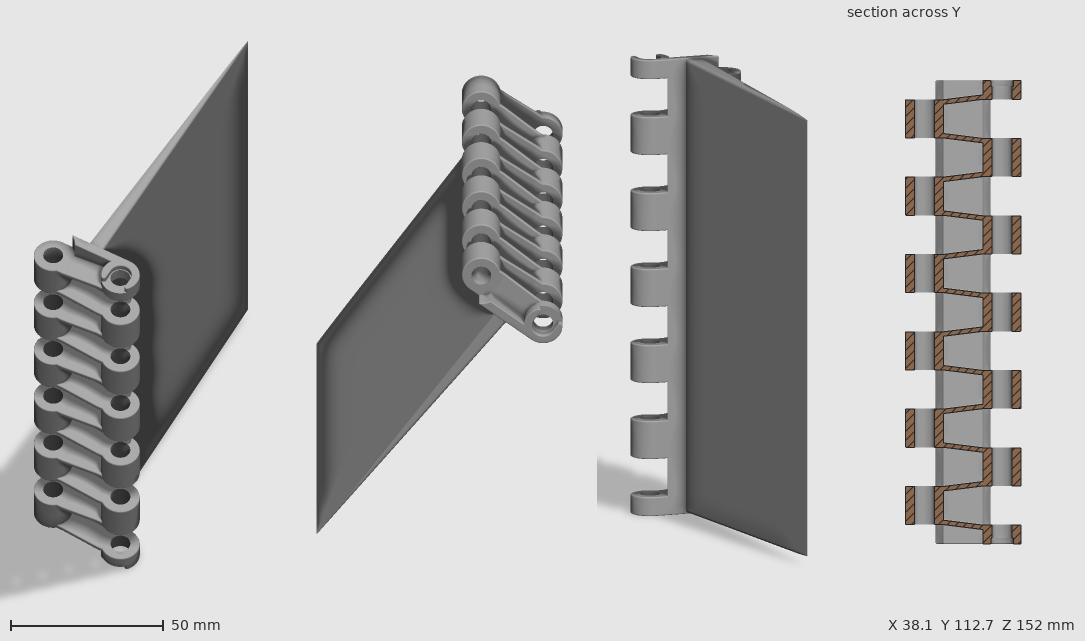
import cadquery as cq
import math

knuckle_radius = 6.35
axis_x = 2 * knuckle_radius
height = 152.0
left_knuckle_count = 6
pitch = height / left_knuckle_count
knuckle_length = pitch / 2
half_height = height / 2
pin_hole_diameter = 6.5
edge_round = 0.4
small_round = 0.25

plate_back_y = knuckle_radius
plate_front_y = knuckle_radius / 2
clearance_radius = 7.05
plate_front_half_width = axis_x - math.sqrt(clearance_radius**2 - plate_front_y**2)

rib_thickness = 1.6
rib_front_y = -4.9
rib_end_x = 9.0

recess_width = 7.2
recess_depth = 2.0
mouth_round = 0.8

blade_tip_y = 106.34
blade_root_thickness = 5.1
blade_tip_thickness = 0.1
blade_root_height = 151.4
blade_height_drop = 2.4
blade_edge_round = 1.1


def box_between(x0, x1, y0, y1, z0, z1):
    """Axis-aligned box from its corner coordinates."""
    return cq.Workplane("XY").box(x1 - x0, y1 - y0, z1 - z0, centered=False).translate((x0, y0, z0))


def make_plate():
    plate = box_between(-axis_x, axis_x, plate_front_y, plate_back_y, -half_height, half_height)
    for side in (-1, 1):
        clearance = cq.Workplane("XY").center(side * axis_x, 0).circle(clearance_radius).extrude(height)
        plate = plate.cut(clearance.translate((0, 0, -half_height)))
    plate = plate.faces(">Y").edges("|Z").fillet(small_round)
    return plate.faces("<Z or >Z").edges().fillet(edge_round)


def make_recess(end):
    """Round-backed slot sunk into the end face of an end knuckle (end is +1 top, -1 bottom)."""
    seat = cq.Workplane("XY").center(axis_x, 0).circle(recess_width / 2).extrude(recess_depth)
    mouth = box_between(
        axis_x - recess_width / 2, axis_x + recess_width / 2, -axis_x, 0, 0, recess_depth
    )
    bottom_z = half_height - recess_depth if end > 0 else -half_height
    return seat.union(mouth).translate((0, 0, bottom_z))


def make_barrel(side, bottom_z, top_z, recess_end):
    """Round knuckle body; a nonzero recess_end (+1 top, -1 bottom) sinks the recess into that end."""
    barrel = cq.Workplane("XY").center(side * axis_x, 0).circle(knuckle_radius).extrude(top_z - bottom_z)
    barrel = barrel.translate((0, 0, bottom_z))
    if recess_end:
        barrel = barrel.cut(make_recess(recess_end))
        mouth_region = cq.selectors.BoxSelector(
            (axis_x - knuckle_radius, -knuckle_radius, bottom_z),
            (axis_x + knuckle_radius, -recess_width / 2, top_z),
        )
        barrel = barrel.edges("|Z").edges(mouth_region).fillet(mouth_round)
    return barrel.faces("<Z or >Z").edges().fillet(edge_round)


def make_web(side, bottom_z, top_z):
    """Arm tangent to the back of a barrel and running into the plate, clear of the recess."""
    web = box_between(0, axis_x, plate_front_y, plate_back_y, bottom_z, top_z)
    web = web.edges("|X").fillet(edge_round)
    keep_out_radius = recess_width / 2 + edge_round
    keep_out = cq.Workplane("XY").center(axis_x, 0).circle(keep_out_radius).extrude(top_z - bottom_z)
    web = web.cut(keep_out.translate((0, 0, bottom_z)))
    return web if side > 0 else web.mirror("YZ")


def make_rib(center_z, direction):
    """Rib between two knuckles: flat where it enters them, sloping across the plate.

    direction is +1 where the rib climbs along X and -1 where it falls.
    """
    half = rib_thickness / 2
    rise = direction * half
    rib = (
        cq.Workplane("XZ")
        .polyline([
            (-rib_end_x, -rise - half),
            (-plate_front_half_width, -rise - half),
            (plate_front_half_width, rise - half),
            (rib_end_x, rise - half),
            (rib_end_x, rise + half),
            (plate_front_half_width, rise + half),
            (-plate_front_half_width, -rise + half),
            (-rib_end_x, -rise + half),
        ])
        .close()
        .extrude(plate_front_y - rib_front_y + edge_round)
        .translate((0, plate_front_y + edge_round, 0))
    )
    rib = rib.faces("<Y").edges("not |Z").fillet(edge_round)
    return rib.translate((0, 0, center_z))


def round_rib_roots(body):
    """Fillet the lines where the ribs rise from the front of the plate."""
    slack = 0.01
    root_region = cq.selectors.BoxSelector(
        (-plate_front_half_width, plate_front_y - slack, -half_height + 2 * edge_round),
        (plate_front_half_width, plate_front_y + slack, half_height - 2 * edge_round),
    )
    return body.edges(root_region).edges("not |Z").fillet(small_round)


def make_blade():
    """Wedge thinning and shortening toward its tip, with rounded end edges on the +X flank."""
    root_half = blade_root_thickness / 2
    tip_half = blade_tip_thickness / 2
    root_z = blade_root_height / 2
    tip_z = root_z - blade_height_drop
    root_y = plate_front_y + edge_round
    blank = (
        cq.Workplane("YZ")
        .polyline([(root_y, -root_z), (blade_tip_y, -tip_z), (blade_tip_y, tip_z), (root_y, root_z)])
        .close()
        .extrude(2 * blade_root_thickness, both=True)
    )
    flank = (
        cq.Workplane("XY")
        .polyline([
            (-axis_x, root_y),
            (root_half, root_y),
            (tip_half, blade_tip_y),
            (-axis_x, blade_tip_y),
        ])
        .close()
        .extrude(half_height, both=True)
    )
    blank = blank.intersect(flank)
    blank = blank.faces(">X").edges("not |Z").edges("<Z or >Z").fillet(blade_edge_round)
    wedge = (
        cq.Workplane("XY")
        .polyline([
            (-root_half, root_y),
            (root_half, root_y),
            (tip_half, blade_tip_y),
            (-tip_half, blade_tip_y),
        ])
        .close()
        .extrude(half_height, both=True)
    )
    return blank.intersect(wedge)


def make_pin_hole(side):
    hole = cq.Workplane("XY").center(side * axis_x, 0).circle(pin_hole_diameter / 2)
    return hole.extrude(half_height, both=True)


body = make_plate()
joint_count = 2 * left_knuckle_count
first_joint_z = -half_height + knuckle_length / 2
joints = [first_joint_z + i * knuckle_length for i in range(joint_count)]
levels = [-half_height] + joints + [half_height]

for i, joint_z in enumerate(joints):
    body = body.union(make_rib(joint_z, -1 if i % 2 == 0 else 1))
body = round_rib_roots(body)

for i in range(joint_count + 1):
    side = 1 if i % 2 == 0 else -1
    recess_end = {0: -1, joint_count: 1}.get(i, 0)
    body = body.union(make_web(side, levels[i], levels[i + 1]))
    body = body.union(make_barrel(side, levels[i], levels[i + 1], recess_end))

body = body.union(make_blade())
for side in (-1, 1):
    body = body.cut(make_pin_hole(side))

result = body